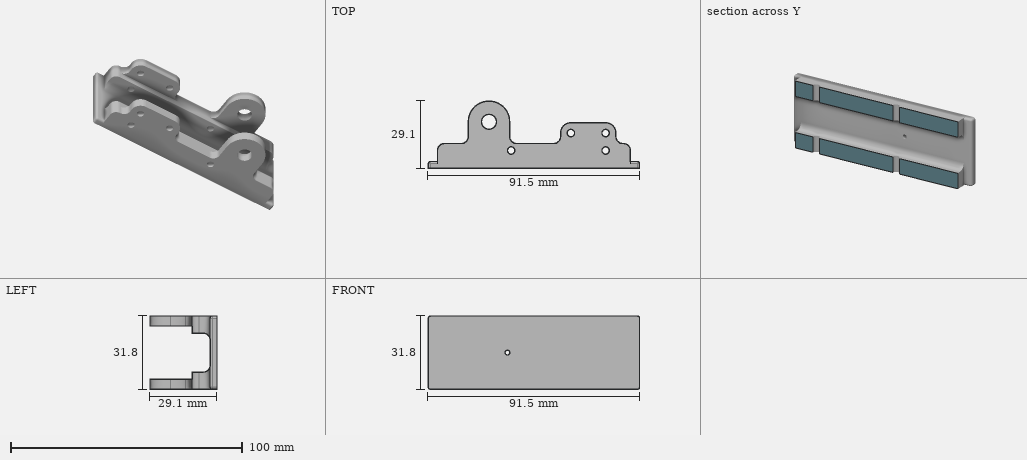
import cadquery as cq

plate_length = 91.5
plate_height = 31.75
plate_thickness = 3.0
plate_edge_radius = 1.0
plate_hole_diameter = 2.0
plate_hole_x = 34.3

wall_inset = 4.0
wall_start = wall_inset
wall_end = plate_length - wall_inset
wall_thickness = 4.45
shoulder_y = 10.75
shoulder_radius = 3.0
blend_radius = 3.0

foot_thickness = 7.5
foot_fillet_radius = 3.0

lug_x = 26.3
lug_radius = 9.0
lug_y = 20.11
lug_hole_diameter = 6.35

pad_start = 57.25
pad_end = 81.25
pad_y = 19.75
pad_corner_radius = 4.5

screw_hole_diameter = 3.1
lower_hole_y = 7.7
upper_hole_y = pad_y - pad_corner_radius
middle_hole_x = 35.9
pad_hole_left_x = pad_start + pad_corner_radius
pad_hole_right_x = pad_end - pad_corner_radius
screw_hole_points = [
    (middle_hole_x, lower_hole_y),
    (pad_hole_right_x, lower_hole_y),
    (pad_hole_left_x, upper_hole_y),
    (pad_hole_right_x, upper_hole_y),
]

half_height = plate_height / 2


def make_plate():
    """Plate with rounded corners and a rounded inner rim."""
    plate = cq.Workplane("XY").box(
        plate_length, plate_thickness, plate_height, centered=(False, False, True)
    )
    plate = plate.edges("|Y").fillet(plate_edge_radius)
    return plate.faces(">Y").edges().fillet(plate_edge_radius)


def make_wall():
    """Upper wall: shoulders, lug and pad in one outline."""
    lug_left = lug_x - lug_radius
    lug_right = lug_x + lug_radius
    blend_top = shoulder_y + blend_radius
    shoulder_base = shoulder_y - shoulder_radius
    pad_side_top = pad_y - pad_corner_radius
    outline = (
        cq.Workplane("XY", origin=(0, 0, half_height - wall_thickness))
        .moveTo(wall_start, 0)
        .lineTo(wall_start, shoulder_base)
        .radiusArc((wall_start + shoulder_radius, shoulder_y), shoulder_radius)
        .lineTo(lug_left - blend_radius, shoulder_y)
        .radiusArc((lug_left, blend_top), -blend_radius)
        .lineTo(lug_left, lug_y)
        .threePointArc((lug_x, lug_y + lug_radius), (lug_right, lug_y))
        .lineTo(lug_right, blend_top)
        .radiusArc((lug_right + blend_radius, shoulder_y), -blend_radius)
        .lineTo(pad_start - blend_radius, shoulder_y)
        .radiusArc((pad_start, blend_top), -blend_radius)
        .lineTo(pad_start, pad_side_top)
        .radiusArc((pad_start + pad_corner_radius, pad_y), pad_corner_radius)
        .lineTo(pad_end - pad_corner_radius, pad_y)
        .radiusArc((pad_end, pad_side_top), pad_corner_radius)
        .lineTo(pad_end, blend_top)
        .radiusArc((pad_end + blend_radius, shoulder_y), -blend_radius)
        .lineTo(wall_end - shoulder_radius, shoulder_y)
        .radiusArc((wall_end, shoulder_base), shoulder_radius)
        .lineTo(wall_end, 0)
        .close()
    )
    return outline.extrude(wall_thickness)


def make_foot():
    """Thick lower part of the upper wall, with a fillet down to the plate."""
    foot_z = half_height - foot_thickness
    section = (
        cq.Workplane("YZ", origin=(wall_start, 0, 0))
        .moveTo(0, half_height)
        .lineTo(shoulder_y, half_height)
        .lineTo(shoulder_y, foot_z)
        .lineTo(plate_thickness + foot_fillet_radius, foot_z)
        .radiusArc((plate_thickness, foot_z - foot_fillet_radius), -foot_fillet_radius)
        .lineTo(0, foot_z - foot_fillet_radius)
        .close()
    )
    foot = section.extrude(wall_end - wall_start)
    return foot.edges("|Z and >Y").fillet(shoulder_radius)


def hole_cutter(points, diameter):
    """Cylinders along Z that pass through both walls."""
    return (
        cq.Workplane("XY", origin=(0, 0, -half_height))
        .pushPoints(points)
        .circle(diameter / 2)
        .extrude(plate_height)
    )


def plate_hole_cutter():
    """Cylinder along Y through the plate at mid height."""
    return (
        cq.Workplane("XZ", origin=(plate_hole_x, 0, 0))
        .circle(plate_hole_diameter / 2)
        .extrude(-plate_thickness)
    )


upper_side = make_wall().union(make_foot())
lower_side = upper_side.mirror("XY")

result = make_plate().union(upper_side).union(lower_side)
result = result.cut(hole_cutter([(lug_x, lug_y)], lug_hole_diameter))
result = result.cut(hole_cutter(screw_hole_points, screw_hole_diameter))
result = result.cut(plate_hole_cutter())